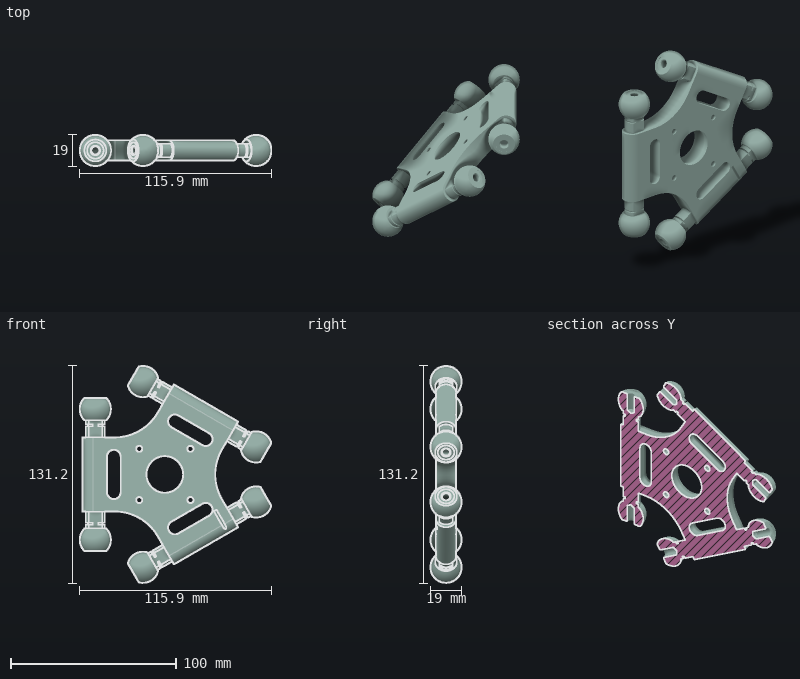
import cadquery as cq
import math

plate_thickness = 12.3
edge_radius = plate_thickness / 2
edge_center = 43.7
arm_half_width = 22.5
concave_radius = 29.9
arm_count = 3
arm_step = 360 / arm_count
arm_angles = [-60 + arm_step * i for i in range(arm_count)]

hub_hole_diameter = 22.0
bolt_hole_diameter = 3.5
bolt_spacing = 31.0
slot_center = 30.8
slot_width = 8.1
slot_length = 29.7

mark_arm_angle = -60
mark_offset = 15.5
mark_start = 34.1
mark_radius = 0.9

stud_center = 42.0
ball_center = 39.5
ball_diameter = 19.0
ball_half_length = 6.8
stem_diameter = 11.7
stem_across_flats = 8.3
neck_diameter = 8.9
neck_start = 29.3
neck_width = 1.0

bore_diameter = 4.9
bore_depth = 11.8
drill_point_angle = 118
countersink_diameter = 5.8
countersink_angle = 90
end_recess_diameter = 10.0
end_recess_depth = 0.1


def turn_to_arm(body, angle):
    """Turn a body modelled for the +X arm to the arm at this angle from +X towards +Z."""
    return body.rotate((0, 0, 0), (0, 1, 0), -angle)


def polar_point(radial, along_edge, angle):
    """XZ position of a point given as (radial, along edge) on the arm at this angle."""
    cos_angle = math.cos(math.radians(angle))
    sin_angle = math.sin(math.radians(angle))
    x = radial * cos_angle - along_edge * sin_angle
    z = radial * sin_angle + along_edge * cos_angle
    return (x, z)


def cylinder_z(diameter, x, z_start, length):
    """Cylinder parallel to Z."""
    return cq.Workplane("XY", origin=(x, 0, z_start)).circle(diameter / 2).extrude(length)


def make_plate():
    half_step = math.radians(arm_step / 2)
    corner_radial = arm_half_width / math.tan(half_step)
    corner_distance = arm_half_width / math.sin(half_step)
    blend_start = corner_radial + concave_radius / math.tan(half_step)
    blend_middle = corner_distance + concave_radius * (1 / math.sin(half_step) - 1)

    outline = cq.Workplane("XZ").moveTo(*polar_point(blend_start, -arm_half_width, arm_angles[0]))
    for angle in arm_angles:
        outline = (
            outline
            .lineTo(*polar_point(edge_center, -arm_half_width, angle))
            .lineTo(*polar_point(edge_center, arm_half_width, angle))
            .lineTo(*polar_point(blend_start, arm_half_width, angle))
            .threePointArc(
                polar_point(blend_middle, 0, angle + arm_step / 2),
                polar_point(blend_start, -arm_half_width, angle + arm_step),
            )
        )
    plate = outline.close().extrude(plate_thickness / 2, both=True)

    rounded_edge = cylinder_z(2 * edge_radius, edge_center, -arm_half_width, 2 * arm_half_width)
    for angle in arm_angles:
        plate = plate.union(turn_to_arm(rounded_edge, angle))
    return plate


def back_face():
    """Workplane on the +Y face of the plate, extruding towards -Y."""
    return cq.Workplane("XZ", origin=(0, plate_thickness / 2, 0))


def make_openings():
    openings = (
        back_face()
        .circle(hub_hole_diameter / 2)
        .extrude(plate_thickness)
    )
    bolt_holes = (
        back_face()
        .rect(bolt_spacing, bolt_spacing, forConstruction=True)
        .vertices()
        .circle(bolt_hole_diameter / 2)
        .extrude(plate_thickness)
    )
    slot = (
        back_face()
        .center(slot_center, 0)
        .slot2D(slot_length, slot_width, 90)
        .extrude(plate_thickness)
    )
    openings = openings.union(bolt_holes)
    for angle in arm_angles:
        openings = openings.union(turn_to_arm(slot, angle))
    return openings


def make_mark():
    mark_length = edge_center + edge_radius - mark_start
    mark = (
        cq.Workplane("YZ", origin=(mark_start, -plate_thickness / 2, mark_offset))
        .circle(mark_radius)
        .extrude(mark_length)
    )
    return turn_to_arm(mark, mark_arm_angle)


def make_stem():
    """Flat-sided stem from the arm's side face to the ball, with a round neck groove."""
    stem_length = ball_center - arm_half_width
    stem = cylinder_z(stem_diameter, stud_center, arm_half_width, stem_length)
    flats = (
        cq.Workplane("XY", origin=(stud_center, 0, arm_half_width))
        .rect(stem_diameter, stem_across_flats)
        .extrude(stem_length)
    )
    neck_band = cylinder_z(stem_diameter, stud_center, neck_start, neck_width)
    neck_core = cylinder_z(neck_diameter, stud_center, neck_start, neck_width)
    return stem.intersect(flats).cut(neck_band.cut(neck_core))


def make_ball():
    ball = cq.Workplane("XY", origin=(stud_center, 0, ball_center)).sphere(ball_diameter / 2)
    flat_ends = cylinder_z(
        ball_diameter, stud_center, ball_center - ball_half_length, 2 * ball_half_length
    )
    return ball.intersect(flat_ends)


def make_socket():
    """Shallow end recess, countersink and drilled hole, as one revolved cutter."""
    recess_radius = end_recess_diameter / 2
    sink_radius = countersink_diameter / 2
    bore_radius = bore_diameter / 2
    sink_depth = (sink_radius - bore_radius) / math.tan(math.radians(countersink_angle / 2))
    point_depth = bore_radius / math.tan(math.radians(drill_point_angle / 2))

    end_face = ball_center + ball_half_length
    recess_floor = end_face - end_recess_depth
    bore_end = end_face - bore_depth
    return (
        cq.Workplane("XZ", origin=(stud_center, 0, 0))
        .moveTo(0, end_face)
        .lineTo(recess_radius, end_face)
        .lineTo(recess_radius, recess_floor)
        .lineTo(sink_radius, recess_floor)
        .lineTo(bore_radius, recess_floor - sink_depth)
        .lineTo(bore_radius, bore_end)
        .lineTo(0, bore_end - point_depth)
        .close()
        .revolve(360, (0, 0, 0), (0, 1, 0))
    )


plate = make_plate().cut(make_openings()).cut(make_mark())
upper_stud = make_stem().union(make_ball()).cut(make_socket())
lower_stud = upper_stud.mirror("XY")

result = plate
for arm_angle in arm_angles:
    result = result.union(turn_to_arm(upper_stud, arm_angle))
    result = result.union(turn_to_arm(lower_stud, arm_angle))